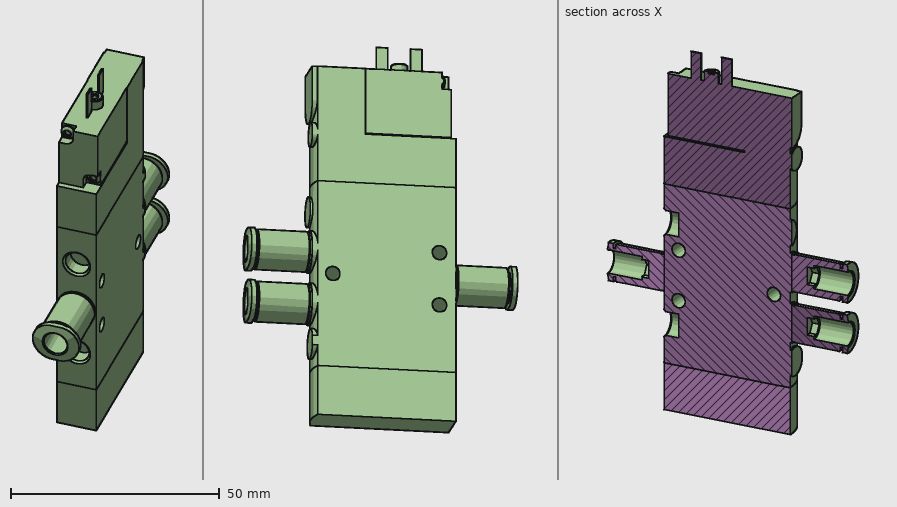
import cadquery as cq
import math


body_width = 10.0
side_depth = 33.7
crown_depth = 34.5
boss_depth = 35.0
cap_top = 12.2
block_top = 58.3
ledge_top = 70.5
head_top = 86.95
total_height = 93.8

port_center_z = 35.4
port_pitch = 13.0
port_diameter = 6.0
port_mouth_diameter = 7.0
port_depth = 4.0
mounting_diameter = 3.5
mounting_front_y = 4.0
mounting_back_y = 30.0
supply_zs = [port_center_z]
outlet_zs = [port_center_z + side * port_pitch / 2 for side in (1, -1)]
exhaust_zs = [port_center_z + side * port_pitch for side in (1, -1)]

fitting_boss_diameter = 10.2
override_boss_diameter = 7.4
override_boss_x = 1.5
override_boss_spacing = 33.7
head_boss_diameter = 5.9
head_boss_x = -2.2
head_boss_z = 70.5
boss_root = 0.9
tab_width = 9.6
tab_arc_z = 78.7

pilot_width = 9.85
pilot_front_y = 1.1
pilot_back_y = 22.0
pilot_gap = 0.3
pilot_bottom = ledge_top + pilot_gap

screw_x = 3.3
screw_edge_distance = 2.2
screw_pocket_diameter = 4.0
screw_pocket_depth = 2.25
screw_head_diameter = 3.6
screw_head_height = 0.8
screw_rim_height = 0.3

button_y = 12.9
button_diameter = 4.0
button_height = 2.6
button_chamfer = 0.3
recess_mouth_diameter = 2.0
recess_diameter = 1.6
recess_depth = 0.6
terminal_pitch = 8.35
terminal_width = 2.8
terminal_thickness = 0.4

fitting_length = 15.4
seat_diameter = 9.6
seat_length = 0.5
barrel_diameter = 9.8
barrel_end = 13.1
barrel_chamfer = 0.3
neck_diameter = 7.4
flange_start = 13.7
flange_length_x = 11.8
flange_height = 9.9
flange_cone_drop = 0.5
bore_diameter = 5.9
bore_mouth_diameter = 6.5
bore_depth = 9.4
hex_across_flats = 4.4
hex_depth = 1.9


def box(x_size, y_min, y_max, z_min, z_max):
    """Block centred on X = 0 between the given Y and Z limits."""
    return cq.Workplane("XY").box(
        x_size, y_max - y_min, z_max - z_min, centered=(True, False, False)
    ).translate((0, y_min, z_min))


def crowned_block(z_min, z_max):
    """Slice of the housing stack with its curved back."""
    half = body_width / 2
    return (
        cq.Workplane("XY", origin=(0, 0, z_min))
        .moveTo(-half, 0)
        .lineTo(half, 0)
        .lineTo(half, side_depth)
        .threePointArc((0, crown_depth), (-half, side_depth))
        .close()
        .extrude(z_max - z_min)
    )


def cylinder_y(diameter, x, z, y_min, y_max):
    """Cylinder along Y between the given Y limits."""
    return (
        cq.Workplane("XZ", origin=(x, y_max, z)).circle(diameter / 2).extrude(y_max - y_min)
    )


def turned(points):
    """Solid of revolution about Y from (radius, Y) points."""
    return cq.Workplane("XY").polyline(points).close().revolve(360, (0, 0, 0), (0, 1, 0))


def stepped_hole(mouth_diameter, diameter, depth):
    """Cutter for a blind hole with a 45 degree chamfer, entering at Y = 0 toward +Y."""
    chamfer = (mouth_diameter - diameter) / 2
    return turned([
        (0, 0),
        (mouth_diameter / 2, 0),
        (diameter / 2, chamfer),
        (diameter / 2, depth),
        (0, depth),
    ])


def back_boss(diameter, x, z):
    """Round boss on the back, trimmed flush with the sides of the housing."""
    boss = cylinder_y(diameter, x, z, side_depth - boss_root, boss_depth)
    trim = box(body_width, 0, boss_depth, z - diameter, z + diameter)
    return boss.intersect(trim)


def make_end_cap():
    return crowned_block(0, cap_top)


def make_valve_block():
    block = crowned_block(cap_top, block_top)
    for z in outlet_zs:
        block = block.union(back_boss(fitting_boss_diameter, 0, z))
    for side in (1, -1):
        z = port_center_z + side * override_boss_spacing / 2
        block = block.union(back_boss(override_boss_diameter, side * override_boss_x, z))

    exhaust_hole = stepped_hole(port_mouth_diameter, port_diameter, port_depth)
    for z in exhaust_zs:
        block = block.cut(exhaust_hole.translate((0, 0, z)))

    mounting_points = [(mounting_front_y, z) for z in outlet_zs]
    mounting_points.append((mounting_back_y, port_center_z))
    mounting_holes = (
        cq.Workplane("YZ")
        .pushPoints(mounting_points)
        .circle(mounting_diameter / 2)
        .extrude(body_width, both=True)
    )
    return block.cut(mounting_holes)


def screw_pocket(side, toward_edge, z):
    """Pocket open to one side and one edge of the pilot, round at its inner corner."""
    radius = screw_pocket_diameter / 2
    x = side * screw_x
    inner_x = x - side * radius
    outer_x = x + side * radius
    open_z = z + toward_edge * screw_edge_distance
    closed_z = z - toward_edge * radius
    arc_offset = radius / math.sqrt(2)
    return (
        cq.Workplane("XZ", origin=(0, pilot_front_y + screw_pocket_depth, 0))
        .moveTo(inner_x, open_z)
        .lineTo(inner_x, z)
        .threePointArc((x - side * arc_offset, z - toward_edge * arc_offset), (x, closed_z))
        .lineTo(outer_x, closed_z)
        .lineTo(outer_x, open_z)
        .close()
        .extrude(screw_pocket_depth)
    )


def screw_head():
    """Conical screw head with a recess; it stands on Y = 0 and points toward -Y."""
    head = turned([
        (0, 0),
        (screw_head_diameter / 2, 0),
        (screw_head_diameter / 2, -screw_rim_height),
        (recess_mouth_diameter / 2, -screw_head_height),
        (0, -screw_head_height),
    ])
    recess = stepped_hole(recess_mouth_diameter, recess_diameter, recess_depth)
    return head.cut(recess.translate((0, -screw_head_height, 0)))


def make_pilot():
    """Narrower front part of the head, with a screw in two opposite corners."""
    pilot = box(pilot_width, pilot_front_y, pilot_back_y, pilot_bottom, head_top)
    trim = box(pilot_width, 0, pilot_back_y, pilot_bottom, head_top)
    corners = [
        (-1, 1, head_top - screw_edge_distance),
        (1, -1, pilot_bottom + screw_edge_distance),
    ]
    for side, toward_edge, z in corners:
        pilot = pilot.cut(screw_pocket(side, toward_edge, z))
        head_position = (side * screw_x, pilot_front_y + screw_pocket_depth, z)
        pilot = pilot.union(screw_head().translate(head_position).intersect(trim))
    return pilot


def make_button():
    button = (
        cq.Workplane("XY", origin=(0, button_y, head_top))
        .circle(button_diameter / 2)
        .extrude(button_height)
        .faces(">Z")
        .chamfer(button_chamfer)
    )
    recess = stepped_hole(recess_mouth_diameter, recess_diameter, recess_depth)
    recess = recess.rotate((0, 0, 0), (1, 0, 0), -90)
    return button.cut(recess.translate((0, button_y, head_top + button_height)))


def make_tab():
    """Plate on the back, straight at the top and round at its lower end."""
    half = tab_width / 2
    return (
        cq.Workplane("XZ", origin=(0, boss_depth, 0))
        .moveTo(-half, head_top)
        .lineTo(-half, tab_arc_z)
        .threePointArc((0, tab_arc_z - half), (half, tab_arc_z))
        .lineTo(half, head_top)
        .close()
        .extrude(boss_depth - pilot_back_y)
    )


def make_pilot_head():
    front_recess = box(2 * body_width, 0, pilot_back_y, ledge_top, head_top)
    head = crowned_block(block_top, head_top).cut(front_recess)
    head = head.union(make_pilot()).union(make_tab())
    head = head.union(back_boss(head_boss_diameter, head_boss_x, head_boss_z))
    head = head.union(make_button())
    for side in (1, -1):
        y = button_y + side * terminal_pitch / 2
        terminal = box(
            terminal_thickness, y - terminal_width / 2, y + terminal_width / 2, head_top, total_height
        )
        head = head.union(terminal)
    return head


def make_fitting():
    """Fitting seated on Y = 0 and pointing toward -Y."""
    seat = cylinder_y(seat_diameter, 0, 0, -seat_length, 0)
    barrel = cylinder_y(barrel_diameter, 0, 0, -barrel_end, -seat_length).faces("<Y or >Y")
    barrel = barrel.chamfer(barrel_chamfer)
    neck = cylinder_y(neck_diameter, 0, 0, -flange_start, -barrel_end)

    rim_radius = flange_length_x / 2
    flange_disc = turned([
        (0, -flange_start),
        (rim_radius, -flange_start),
        (rim_radius, flange_cone_drop - fitting_length),
        (bore_mouth_diameter / 2, -fitting_length),
        (0, -fitting_length),
    ])
    flange_outline = (
        cq.Workplane("XZ").slot2D(flange_length_x, flange_height).extrude(fitting_length)
    )
    flange = flange_disc.intersect(flange_outline)

    bore = stepped_hole(bore_mouth_diameter, bore_diameter, bore_depth)
    hex_socket = (
        cq.Workplane("XZ", origin=(0, bore_depth + hex_depth, 0))
        .polygon(6, hex_across_flats / math.cos(math.pi / 6))
        .extrude(hex_depth)
    )
    cutter = bore.union(hex_socket).translate((0, -fitting_length, 0))
    return seat.union(barrel).union(neck).union(flange).cut(cutter)


def place_fittings():
    front = [make_fitting().translate((0, 0, z)) for z in supply_zs]
    back = [
        make_fitting().rotate((0, 0, 0), (0, 0, 1), 180).translate((0, boss_depth, z))
        for z in outlet_zs
    ]
    return front + back


end_cap = make_end_cap()
valve_block = make_valve_block()
pilot_head = make_pilot_head()
fittings = place_fittings()

result = cq.Compound.makeCompound(
    [end_cap.val(), valve_block.val(), pilot_head.val()] + [fitting.val() for fitting in fittings]
)